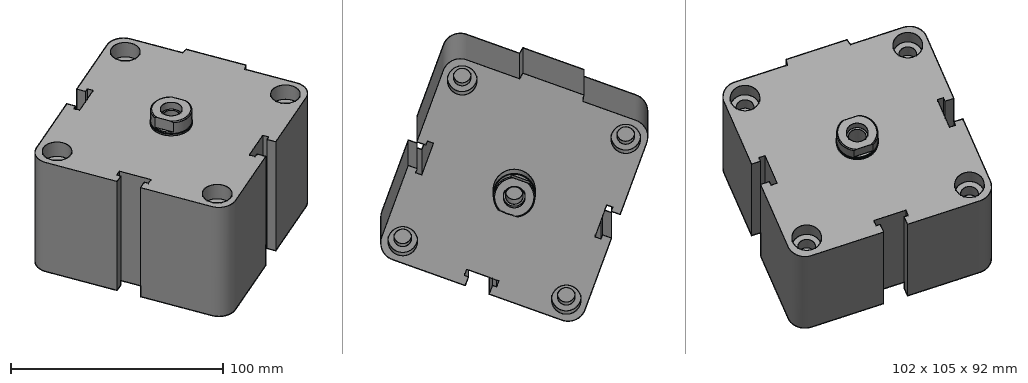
import cadquery as cq


housing_side = 102.0
housing_height = 65.6
corner_radius = 8.5
overall_depth = 105.0

rail_height = overall_depth - housing_side
rail_base_width = 31.7
rail_top_width = 30.7

slot_mouth_width = 12.0
slot_inner_width = 16.2
slot_lip = 4.5
slot_depth = 7.6
slot_angles = (0, 180, 270)

mount_spacing = 82.0
mount_bore_diameter = 14.0
mount_bore_depth = 8.6
mount_hole_diameter = 8.4
mount_hole_depth = 16.3

rod_diameter = 20.0
rod_top_reach = 8.2
rod_bottom_reach = 18.2
rod_end_diameter = 19.5
rod_end_length = 7.0
rod_end_chamfer = 0.5
shoulder_chamfer = (rod_diameter - rod_end_diameter) / 2

flat_across = 17.0
flat_length = 6.2

socket_bore_diameter = 10.3
socket_bore_depth = 4.1
socket_hole_diameter = 8.4
socket_hole_depth = 16.3

rod_length = rod_bottom_reach + housing_height + rod_top_reach


def mirrored_pair(shape, mid_height):
    """A shape and its mirror image across the horizontal plane at mid_height."""
    mirror_image = shape.mirror("XY", (0, 0, mid_height))
    return shape.add(mirror_image).combine()


def stepped_hole(points, face_height, bore_diameter, bore_depth, hole_diameter, hole_depth):
    """Blind holes going down from a face, each with a wider bore at its mouth."""
    face = cq.Workplane("XY").workplane(offset=face_height).pushPoints(points)
    bores = face.circle(bore_diameter / 2).extrude(-bore_depth)
    holes = face.circle(hole_diameter / 2).extrude(-hole_depth)
    return bores.union(holes)


def key_rail():
    """Trapezoidal rail on the +Y side, over the full height."""
    base_y = housing_side / 2
    top_y = base_y + rail_height
    outline = [
        (-rail_base_width / 2, base_y),
        (rail_base_width / 2, base_y),
        (rail_top_width / 2, top_y),
        (-rail_top_width / 2, top_y),
    ]
    return cq.Workplane("XY").polyline(outline).close().extrude(housing_height)


def t_slot(angle):
    """T-slot cutter over the full height, made on the +X side and turned about Z."""
    side_x = housing_side / 2
    mouth = cq.Workplane("XY").center(side_x - slot_depth / 2, 0)
    mouth = mouth.rect(slot_depth, slot_mouth_width).extrude(housing_height)
    inner_depth = slot_depth - slot_lip
    inner = cq.Workplane("XY").center(side_x - slot_lip - inner_depth / 2, 0)
    inner = inner.rect(inner_depth, slot_inner_width).extrude(housing_height)
    return mouth.union(inner).rotate((0, 0, 0), (0, 0, 1), angle)


def make_housing():
    block = cq.Workplane("XY").rect(housing_side, housing_side).extrude(housing_height)
    block = block.edges("|Z").fillet(corner_radius)
    block = block.union(key_rail())
    for angle in slot_angles:
        block = block.cut(t_slot(angle))

    half = mount_spacing / 2
    corners = [(x, y) for x in (-half, half) for y in (-half, half)]
    top_holes = stepped_hole(
        corners,
        housing_height,
        mount_bore_diameter,
        mount_bore_depth,
        mount_hole_diameter,
        mount_hole_depth,
    )
    block = block.cut(mirrored_pair(top_holes, housing_height / 2))

    rod_bore = cq.Workplane("XY").circle(rod_diameter / 2).extrude(housing_height)
    return block.cut(rod_bore)


def rod_flats(top_z):
    """Cutter for the two wrench flats at the upper rod end."""
    end_face = cq.Workplane("XY").workplane(offset=top_z)
    stock = end_face.rect(rod_diameter, rod_diameter).extrude(-flat_length)
    kept = end_face.rect(rod_diameter, flat_across).extrude(-flat_length)
    return stock.cut(kept)


def make_rod():
    bottom_z = -rod_bottom_reach
    top_z = bottom_z + rod_length
    mid_z = (bottom_z + top_z) / 2

    body_length = rod_length - 2 * rod_end_length
    body = cq.Workplane("XY").workplane(offset=bottom_z + rod_end_length)
    body = body.circle(rod_diameter / 2).extrude(body_length)
    body = body.faces("<Z or >Z").edges().chamfer(shoulder_chamfer)

    ends = cq.Workplane("XY").workplane(offset=bottom_z).circle(rod_end_diameter / 2).extrude(rod_length)
    ends = ends.faces("<Z or >Z").edges().chamfer(rod_end_chamfer)
    rod = body.union(ends)

    rod = rod.cut(mirrored_pair(rod_flats(top_z), mid_z))
    socket = stepped_hole(
        [(0, 0)],
        top_z,
        socket_bore_diameter,
        socket_bore_depth,
        socket_hole_diameter,
        socket_hole_depth,
    )
    return rod.cut(mirrored_pair(socket, mid_z))


housing = make_housing()
rod = make_rod()

result = cq.Compound.makeCompound([housing.solids().val(), rod.solids().val()])